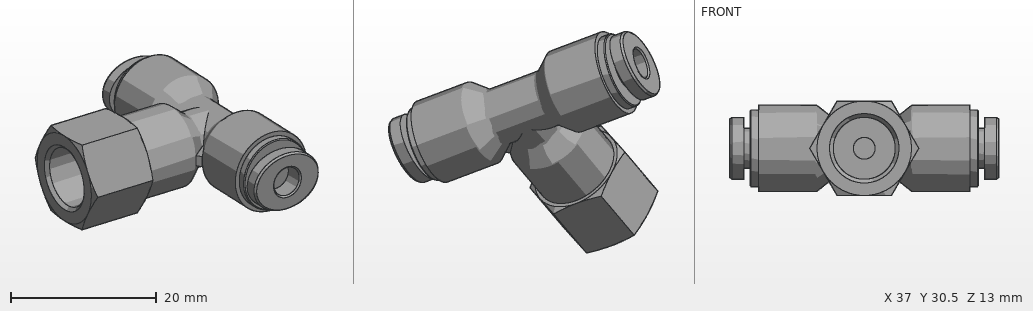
import cadquery as cq
import math


run_length = 37.0
run_end = run_length / 2

barrel_dia = 11.9
pipe_dia = 8.0
barrel_end = 14.5
shoulder_start = 4.07
shoulder_end = 6.55
shoulder_start_fillet = 0.6
shoulder_end_fillet = 0.3
web_thickness = 1.55
passage_dia = 3.0

collar_dia = 10.6
collar_width = 1.2
collar_chamfer = 0.15

button_width = 10.75
button_height = 8.5
button_thickness = 1.95
button_chamfer_length = 0.35
button_chamfer_depth = 0.22
neck_dia = 5.5
neck_fillet = 0.1
tube_bore_dia = 4.2
tube_mouth_chamfer = 0.22

nut_across_flats = 13.0
nut_length = 10.0
nut_bore_dia = 8.5
nut_mouth_dia = 9.55
hex_chamfer_length = 0.37


def make_arm(angle):
    """Solid pipe, cone and barrel from the tee centre outwards, at an angle from +X about Z."""
    pipe_radius = pipe_dia / 2
    barrel_radius = barrel_dia / 2
    arm = (
        cq.Workplane("XY")
        .polyline([
            (0, 0),
            (0, pipe_radius),
            (shoulder_start, pipe_radius),
            (shoulder_end, barrel_radius),
            (barrel_end, barrel_radius),
            (barrel_end, 0),
        ])
        .close()
        .revolve(360, (0, 0, 0), (1, 0, 0))
    )
    corner_fillets = [
        (shoulder_start, shoulder_start_fillet),
        (shoulder_end, shoulder_end_fillet),
    ]
    for corner, fillet in corner_fillets:
        corner_edge = cq.selectors.NearestToPointSelector((corner, 0, 0))
        arm = arm.edges("%CIRCLE").edges(corner_edge).fillet(fillet)
    return arm.rotate((0, 0, 0), (0, 0, 1), angle)


def make_tee():
    """Three equal arms with webbed corners and a passage up the branch."""
    tee = make_arm(0).union(make_arm(180)).union(make_arm(-90))

    barrel_radius = barrel_dia / 2
    web = (
        cq.Workplane("XY")
        .polyline([
            (-shoulder_end, 0),
            (-shoulder_end, -barrel_radius),
            (-barrel_radius, -shoulder_end),
            (barrel_radius, -shoulder_end),
            (shoulder_end, -barrel_radius),
            (shoulder_end, 0),
        ])
        .close()
        .extrude(web_thickness / 2, both=True)
    )
    tee = tee.union(web)

    passage = cq.Workplane("XZ").circle(passage_dia / 2).extrude(barrel_end)
    return tee.cut(passage)


def make_collar():
    """Disc between the +X end face of the tee and the button neck; it closes the tube bore."""
    return (
        cq.Workplane("YZ", origin=(barrel_end, 0, 0))
        .circle(collar_dia / 2)
        .extrude(collar_width)
        .faces(">X").edges().chamfer(collar_chamfer)
    )


def make_release_button():
    """Oval push flange at the +X end with a round neck standing on the collar."""
    flange_start = run_end - button_thickness
    neck_start = barrel_end + collar_width
    flange = (
        cq.Workplane("YZ", origin=(flange_start, 0, 0))
        .ellipse(button_width / 2, button_height / 2)
        .extrude(button_thickness)
        .faces(">X").chamfer(button_chamfer_length, button_chamfer_depth)
    )
    neck = (
        cq.Workplane("YZ", origin=(neck_start, 0, 0))
        .circle(neck_dia / 2)
        .extrude(flange_start - neck_start)
    )
    neck_root = cq.selectors.NearestToPointSelector((flange_start, 0, 0))
    return (
        flange.union(neck)
        .edges("%CIRCLE").edges(neck_root).fillet(neck_fillet)
        .faces(">X").workplane(origin=(0, 0, 0))
        .hole(tube_bore_dia)
        .faces(">X").edges("%CIRCLE").chamfer(tube_mouth_chamfer)
    )


def make_nut():
    """Hex nut on the end of the branch, flats facing +Z and -Z, corners chamfered at both ends."""
    across_corners = nut_across_flats / math.cos(math.radians(30))
    nut_end = barrel_end + nut_length
    blank = (
        cq.Workplane("XZ", origin=(0, -barrel_end, 0))
        .polygon(6, across_corners)
        .extrude(nut_length)
    )
    corner_depth = (across_corners - nut_across_flats) / 2
    envelope = (
        cq.Workplane("XZ", origin=(0, -barrel_end, 0))
        .circle(across_corners / 2)
        .extrude(nut_length)
        .faces("<Y").chamfer(hex_chamfer_length, corner_depth)
        .faces(">Y").chamfer(hex_chamfer_length, corner_depth)
    )
    bore = (
        cq.Workplane("XZ", origin=(0, -barrel_end, 0))
        .circle(nut_bore_dia / 2)
        .extrude(nut_length)
    )
    mouth_depth = (nut_mouth_dia - nut_bore_dia) / 2
    mouth = cq.Workplane(
        cq.Solid.makeCone(
            nut_mouth_dia / 2, nut_bore_dia / 2, mouth_depth,
            pnt=cq.Vector(0, -nut_end, 0), dir=cq.Vector(0, 1, 0),
        )
    )
    return blank.intersect(envelope).cut(bore).cut(mouth)


tee = make_tee()
nut = make_nut()

collars = []
release_buttons = []
for port_angle in (0, 180):
    collars.append(make_collar().rotate((0, 0, 0), (0, 0, 1), port_angle))
    release_buttons.append(make_release_button().rotate((0, 0, 0), (0, 0, 1), port_angle))

result = cq.Compound.makeCompound([
    tee.val(),
    nut.val(),
    *[collar.val() for collar in collars],
    *[button.val() for button in release_buttons],
])